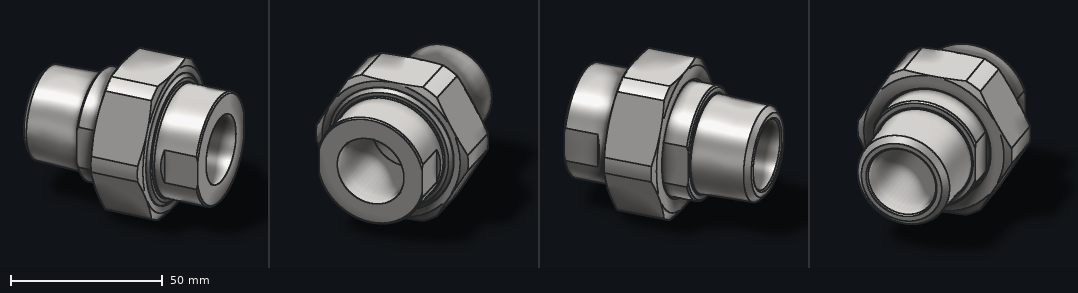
import cadquery as cq

TOTAL_LENGTH = 65.0
BORE_RADIUS = 24.0 / 2
MOUTH_CHAMFER = 0.5

SPIGOT_TIP_RADIUS = 14.25
SPIGOT_CHAMFER_LENGTH = 1.9
SPIGOT_START_RADIUS = 16.3
SPIGOT_END_RADIUS = 16.9
SPIGOT_END_X = 20.5
SPIGOT_ROOT_RISE = 0.3
COLLAR_X = 20.85
COLLAR_RADIUS = 39.0 / 2
COLLAR_CHAMFER = 0.6
COLLAR_FLAT_OFFSET = 18.0
COLLAR_FLAT_OVERRUN = 1.5
FLAT_CUT_CLEARANCE = 0.3
COLLAR_FLAT_SLOPE_RUN = 0.3
FLANGE_RADIUS = 43.0 / 2
FLANGE_LENGTH = 3.9

NUT_X = 29.45
NUT_END_X = 48.0
NUT_ACROSS_FLATS = 50.0
NUT_CORNER_RADIUS = 54.65 / 2
NUT_FACE_RADIUS = 24.8
NUT_CHAMFER_LENGTH = 0.85
NUT_LIP_LENGTH = 3.25
NUT_LIP_RADIUS = 19.55
NUT_LIP_CHAMFER = 0.65
NUT_BORE_RADIUS = 44.85 / 2

NECK_X = 48.95
SHOULDER_RADIUS = 21.05
NECK_RADIUS = 39.5 / 2
NECK_END_X = 49.7
END_RADIUS = COLLAR_RADIUS
END_CHAMFER = 0.5
END_FLAT_X = 53.0
END_FLAT_OFFSET = 18.5

FLANGE_X = NUT_X + NUT_LIP_LENGTH
SEAT_X = FLANGE_X + FLANGE_LENGTH


def revolve_x(points):
    """Turn a closed (x, radius) outline about the X axis."""
    return cq.Workplane("XY").polyline(points).close().revolve(360, (0, 0, 0), (1, 0, 0))


def cut_flats(body, flat_offset, open_x, stop_x, slope_end_x):
    """Mill flats on +Y and -Y; a slope from stop_x to slope_end_x ends each flat."""
    rise = COLLAR_RADIUS + FLAT_CUT_CLEARANCE - flat_offset
    cutter = (
        cq.Workplane("XY")
        .moveTo(open_x, flat_offset)
        .lineTo(stop_x, flat_offset)
        .lineTo(slope_end_x, flat_offset + rise)
        .lineTo(open_x, flat_offset + rise)
        .close()
        .extrude(COLLAR_RADIUS, both=True)
    )
    return body.cut(cutter).cut(cutter.mirror("XZ"))


def make_tailpiece():
    body = revolve_x([
        (MOUTH_CHAMFER, BORE_RADIUS),
        (0, BORE_RADIUS + MOUTH_CHAMFER),
        (0, SPIGOT_TIP_RADIUS),
        (SPIGOT_CHAMFER_LENGTH, SPIGOT_START_RADIUS),
        (SPIGOT_END_X, SPIGOT_END_RADIUS),
        (COLLAR_X, SPIGOT_END_RADIUS + SPIGOT_ROOT_RISE),
        (COLLAR_X, COLLAR_RADIUS - COLLAR_CHAMFER),
        (COLLAR_X + COLLAR_CHAMFER, COLLAR_RADIUS),
        (FLANGE_X, COLLAR_RADIUS),
        (FLANGE_X, FLANGE_RADIUS),
        (SEAT_X, FLANGE_RADIUS),
        (SEAT_X, BORE_RADIUS),
    ])
    stop_x = NUT_X + COLLAR_FLAT_OVERRUN
    return cut_flats(body, COLLAR_FLAT_OFFSET, COLLAR_X, stop_x, stop_x + COLLAR_FLAT_SLOPE_RUN)


def make_nut():
    blank = revolve_x([
        (NUT_X + NUT_LIP_CHAMFER, NUT_LIP_RADIUS),
        (NUT_X, NUT_LIP_RADIUS + NUT_LIP_CHAMFER),
        (NUT_X, NUT_FACE_RADIUS),
        (NUT_X + NUT_CHAMFER_LENGTH, NUT_CORNER_RADIUS),
        (NUT_END_X - NUT_CHAMFER_LENGTH, NUT_CORNER_RADIUS),
        (NUT_END_X, NUT_FACE_RADIUS),
        (NUT_END_X, NUT_BORE_RADIUS),
        (FLANGE_X, NUT_BORE_RADIUS),
        (FLANGE_X, NUT_LIP_RADIUS),
    ])
    hexagon = (
        cq.Workplane("YZ", origin=(NUT_X, 0, 0))
        .polygon(6, NUT_ACROSS_FLATS, circumscribed=True)
        .extrude(NUT_END_X - NUT_X)
    )
    hexagon = hexagon.rotate((0, 0, 0), (1, 0, 0), 90)
    return blank.intersect(hexagon)


def make_end_piece():
    shoulder_x = NECK_X - (NUT_BORE_RADIUS - SHOULDER_RADIUS)
    body = revolve_x([
        (SEAT_X, BORE_RADIUS),
        (SEAT_X, NUT_BORE_RADIUS),
        (shoulder_x, NUT_BORE_RADIUS),
        (NECK_X, SHOULDER_RADIUS),
        (NECK_X, NECK_RADIUS),
        (NECK_END_X, END_RADIUS),
        (TOTAL_LENGTH - END_CHAMFER, END_RADIUS),
        (TOTAL_LENGTH, END_RADIUS - END_CHAMFER),
        (TOTAL_LENGTH, BORE_RADIUS),
    ])
    slope_end_x = END_FLAT_X - (END_RADIUS + FLAT_CUT_CLEARANCE - END_FLAT_OFFSET)
    return cut_flats(body, END_FLAT_OFFSET, TOTAL_LENGTH, END_FLAT_X, slope_end_x)


tailpiece = make_tailpiece()
nut = make_nut()
end_piece = make_end_piece()

result = cq.Compound.makeCompound([tailpiece.val(), nut.val(), end_piece.val()])